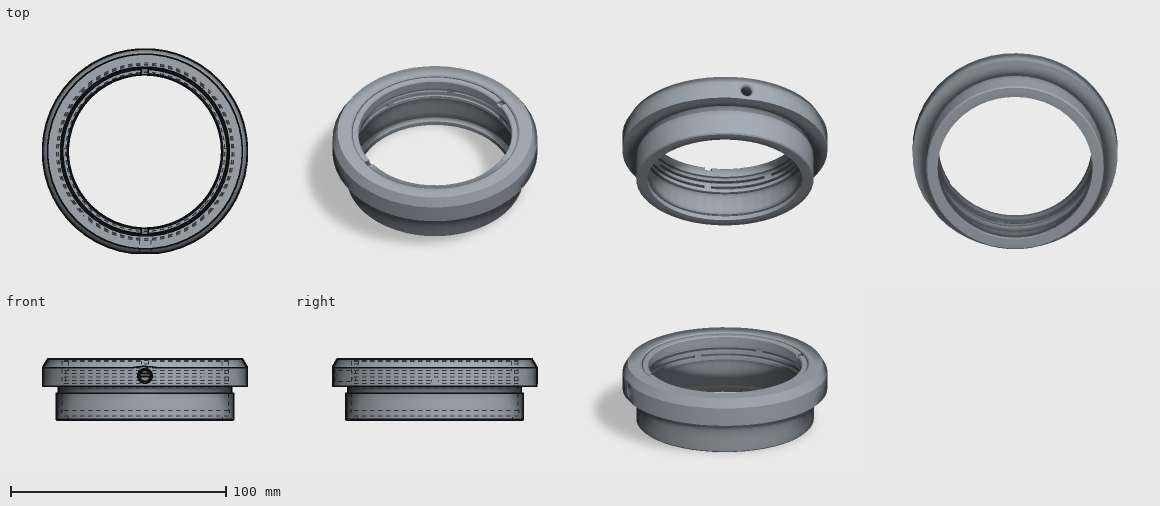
import cadquery as cq
import math

collar_radius = 47.6
collar_top_radius = 45.2
barrel_radius = 41.2
neck_radius = 40.25
barrel_top = 12.7
collar_bottom = 15.8
collar_bevel_bottom = 24.5
housing_height = 28.5
barrel_chamfer = 0.6

bore_radius = 38.6
bore_chamfer = 0.6
flange_radius = 36.0
flange_thickness = 2.1
undercut_radius = 39.0
undercut_top = 4.8

flat_width = 11.6
side_hole_radius = 2.6
countersink_radius = 3.3
side_hole_height = 20.6
flat_distance = math.sqrt(collar_radius**2 - (flat_width / 2) ** 2)

spring_inner_radius = 36.9
spring_layer = 1.5
spring_layers = 5
spring_bottom = 15.7
spring_height = spring_layers * spring_layer
bridges_per_row = 4
bridge_width = 3.2

retainer_inner_radius = 35.6
retainer_bottom = spring_bottom + spring_height
retainer_top = 27.9
retainer_chamfer = 0.5
notch_width = 3.2
notch_depth = 1.6


def ring(outer_radius, inner_radius, bottom, height):
    """Flat ring about the Z axis."""
    return (
        cq.Workplane("XY", origin=(0, 0, bottom))
        .circle(outer_radius)
        .circle(inner_radius)
        .extrude(height)
    )


def side_hole():
    """Radial hole with a 45 degree countersink, cut inward from the flat."""
    countersink_depth = countersink_radius - side_hole_radius
    start = cq.Vector(0, -flat_distance, side_hole_height)
    inward = cq.Vector(0, 1, 0)
    hole = cq.Solid.makeCylinder(side_hole_radius, flat_distance - flange_radius, start, inward)
    countersink = cq.Solid.makeCone(
        countersink_radius, side_hole_radius, countersink_depth, start, inward
    )
    return cq.Workplane(hole).union(cq.Workplane(countersink))


def make_housing():
    """Stepped barrel and collar with a flanged bore, revolved from its half section."""
    section = [
        (flange_radius, 0),
        (barrel_radius - barrel_chamfer, 0),
        (barrel_radius, barrel_chamfer),
        (barrel_radius, barrel_top),
        (neck_radius, barrel_top),
        (neck_radius, collar_bottom),
        (collar_radius, collar_bottom),
        (collar_radius, collar_bevel_bottom),
        (collar_top_radius, housing_height),
        (bore_radius + bore_chamfer, housing_height),
        (bore_radius, housing_height - bore_chamfer),
        (bore_radius, undercut_top),
        (undercut_radius, undercut_top),
        (undercut_radius, flange_thickness),
        (flange_radius, flange_thickness),
    ]
    body = cq.Workplane("XZ").polyline(section).close().revolve(360, (0, 0), (0, 1))
    flat_cutter = (
        cq.Workplane("XY", origin=(0, -flat_distance, 0))
        .box(2 * collar_radius, collar_radius, housing_height, centered=(True, False, False))
        .translate((0, -collar_radius, 0))
    )
    return body.cut(flat_cutter).cut(side_hole())


def slot_row(bottom, first_bridge_angle):
    """Row of through slots: one layer of the ring with its bridges left out."""
    row = ring(bore_radius, spring_inner_radius, bottom, spring_layer)
    for index in range(bridges_per_row):
        angle = first_bridge_angle + index * 360 / bridges_per_row
        bridge = (
            cq.Workplane("XY", origin=(0, 0, bottom))
            .box(collar_radius, bridge_width, spring_layer, centered=(False, True, False))
            .rotate((0, 0, 0), (0, 0, 1), angle)
        )
        row = row.cut(bridge)
    return row


def make_spring_ring():
    """Ring made springy by two rows of slots with staggered bridges."""
    half_pitch = 180 / bridges_per_row
    lower_slots = slot_row(spring_bottom + spring_layer, 0)
    upper_slots = slot_row(spring_bottom + 3 * spring_layer, half_pitch)
    body = ring(bore_radius, spring_inner_radius, spring_bottom, spring_height)
    return body.cut(lower_slots).cut(upper_slots)


def make_retaining_ring():
    """Ring with chamfered top edges and a spanner notch across each of its Y ends."""
    body = ring(bore_radius, retainer_inner_radius, retainer_bottom, retainer_top - retainer_bottom)
    body = body.faces(">Z").edges().chamfer(retainer_chamfer)
    notches = cq.Workplane("XY", origin=(0, 0, retainer_top - notch_depth)).box(
        notch_width, 2 * collar_radius, notch_depth, centered=(True, True, False)
    )
    return body.cut(notches)


housing = make_housing()
spring_ring = make_spring_ring()
retaining_ring = make_retaining_ring()

result = cq.Compound.makeCompound([housing.val(), spring_ring.val(), retaining_ring.val()])